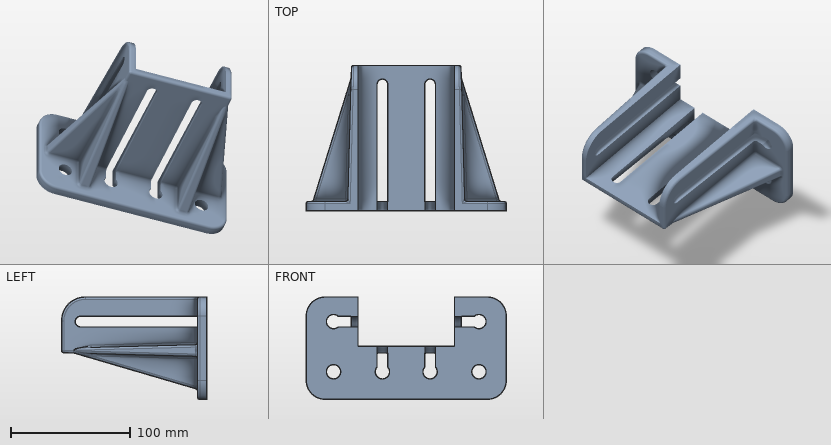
import cadquery as cq
import math

plate_width = 168.0
plate_height = 86.0
plate_thickness = 8.0
plate_corner_radius = 16.0
depth = 122.0

channel_half_width = 40.3
floor_top = 44.8
wall_thickness = 5.7
draft_angle = 1.5
cradle_corner_radius = 20.0

web_thickness = 9.8
web_tip_from_back = 10.5
side_web_reach = 78.3
lower_web_bottom = 8.5

edge_radius = 2.0
tolerance = 0.05

slot_width = 8.8
slot_end_from_back = 11.5
hole_diameter = 11.8
upper_hole_z = 65.3
lower_hole_z = 23.2
outer_hole_x = 61.0
inner_hole_x = 20.0

draft_slope = math.tan(math.radians(draft_angle))
draft_growth = draft_slope * depth
back_half_width = channel_half_width + wall_thickness
back_bottom = floor_top - wall_thickness
front_half_width = back_half_width + draft_growth
front_bottom = back_bottom - draft_growth
web_tip_y = depth - web_tip_from_back
web_tip_half_width = back_half_width + draft_slope * web_tip_from_back
web_tip_z = back_bottom - draft_slope * web_tip_from_back
web_front_thickness = web_thickness + 2 * draft_slope * plate_thickness
web_back_thickness = web_front_thickness - 2 * draft_growth
slot_end_y = depth - slot_end_from_back


def prism_along_z(points):
    """Prism with an XY outline, tall enough to span the whole part."""
    return cq.Workplane("XY").polyline(points).close().extrude(plate_height)


def prism_along_x(points):
    """Prism with a YZ outline, wide enough to span the whole part."""
    return cq.Workplane("YZ").polyline(points).close().extrude(plate_width / 2, both=True)


def make_plate():
    return (
        cq.Workplane("XY")
        .box(plate_width, plate_thickness, plate_height, centered=(True, False, False))
        .edges("|Y")
        .fillet(plate_corner_radius)
    )


def make_cradle_block():
    """Solid block bounded by the drafted outer faces of the cradle."""
    plan = prism_along_z([
        (-front_half_width, 0),
        (front_half_width, 0),
        (back_half_width, depth),
        (-back_half_width, depth),
    ])
    profile = prism_along_x([
        (0, front_bottom),
        (depth, back_bottom),
        (depth, plate_height),
        (0, plate_height),
    ])
    profile = profile.edges("|X and >Y and >Z").fillet(cradle_corner_radius)
    return plan.intersect(profile)


def make_side_webs():
    """Level web spreading from under the floor to both sides of the plate."""
    plan = prism_along_z([
        (-side_web_reach, 0),
        (side_web_reach, 0),
        (side_web_reach, plate_thickness),
        (web_tip_half_width, web_tip_y),
        (-web_tip_half_width, web_tip_y),
        (-side_web_reach, plate_thickness),
    ])
    profile = prism_along_x([
        (0, front_bottom),
        (depth, back_bottom),
        (depth, back_bottom + web_back_thickness),
        (0, front_bottom + web_front_thickness),
    ])
    return plan.intersect(profile)


def make_lower_web(side):
    """Upright web below one wall; side is -1 or +1 for the sign of X."""
    plan = prism_along_z([
        (side * front_half_width, 0),
        (side * back_half_width, depth),
        (side * (back_half_width - web_back_thickness), depth),
        (side * (front_half_width - web_front_thickness), 0),
    ])
    profile = prism_along_x([
        (0, lower_web_bottom),
        (plate_thickness, lower_web_bottom),
        (web_tip_y, web_tip_z),
        (web_tip_y, floor_top),
        (0, floor_top),
    ])
    return plan.intersect(profile)


def make_channel():
    return (
        cq.Workplane("XY")
        .box(2 * channel_half_width, depth, plate_height, centered=(True, False, False))
        .translate((0, 0, floor_top))
    )


def fillet_where(body, is_wanted):
    """Round the edges whose middle point meets the given condition."""
    edges = [edge for edge in body.edges().vals() if is_wanted(edge.positionAt(0.5))]
    return body.newObject(edges).fillet(edge_radius)


def is_on_rim(middle):
    """Top edges of the walls and plate; the rounding runs on along edges tangent to them."""
    on_top = middle.z > plate_height - tolerance
    crosses_channel = abs(middle.x) < channel_half_width
    on_plate_side = middle.y < plate_thickness - tolerance
    return on_top and not crosses_channel and not on_plate_side


def is_on_webs_or_underside(middle):
    """Web edges, inside corners and the back edge of the floor, once the rim is rounded."""
    within_webs = (
        abs(middle.x) < side_web_reach + tolerance
        and middle.z > lower_web_bottom - tolerance
        and middle.y > plate_thickness - tolerance
    )
    below_rim = middle.z < plate_height - 1.5 * edge_radius
    on_back_corner = middle.y > web_tip_y + tolerance and abs(middle.x) > tolerance
    return within_webs and below_rim and not on_back_corner


def cut_holes(body):
    """Round holes through the plate."""
    centres = []
    for side in (-1, 1):
        centres.append((side * outer_hole_x, upper_hole_z))
        centres.append((side * outer_hole_x, lower_hole_z))
        centres.append((side * inner_hole_x, lower_hole_z))
    holes = (
        cq.Workplane("XZ")
        .pushPoints(centres)
        .circle(hole_diameter / 2)
        .extrude(-plate_thickness)
    )
    return body.cut(holes)


def cut_floor_slots(body):
    """Slots through the floor, each opening at the front into an inner hole."""
    for side in (-1, 1):
        slot = (
            cq.Workplane("XY", origin=(side * inner_hole_x, 0, lower_hole_z))
            .slot2D(2 * slot_end_y, slot_width, 90)
            .extrude(floor_top)
        )
        body = body.cut(slot)
    return body


def cut_wall_slots(body):
    """Slots through both walls, opening at the front into the upper holes."""
    slot = (
        cq.Workplane("YZ", origin=(0, 0, upper_hole_z))
        .slot2D(2 * slot_end_y, slot_width)
        .extrude(outer_hole_x, both=True)
    )
    return body.cut(slot)


body = make_plate().union(make_cradle_block()).union(make_side_webs())
for side in (-1, 1):
    body = body.union(make_lower_web(side))
body = fillet_where(body.clean(), is_on_rim)
body = fillet_where(body, is_on_webs_or_underside)
body = body.cut(make_channel())
body = cut_holes(body)
body = cut_floor_slots(body)
result = cut_wall_slots(body)